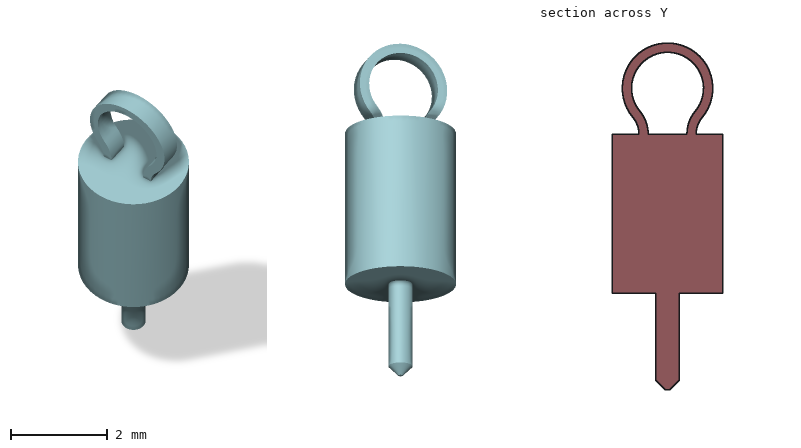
import cadquery as cq
import math

total_height = 7.19
body_diameter = 2.3
body_height = 3.3
pin_diameter = 0.5
pin_length = 2.0
tip_chamfer = 0.2
loop_outer_radius = 0.94
strip_thickness = 0.2
strip_width = 0.45
foot_offset = 0.495

body_top = pin_length + body_height
loop_radius = loop_outer_radius - strip_thickness / 2
loop_center_z = total_height - loop_outer_radius
center_rise = loop_center_z - body_top

foot_radius = (foot_offset**2 + center_rise**2 - loop_radius**2) / (2 * (loop_radius - foot_offset))
foot_center_x = foot_offset + foot_radius
foot_angle = math.atan2(center_rise, foot_center_x)


def loop_point(radius, angle):
    """Point on a circle about the loop center."""
    return radius * math.cos(angle), loop_center_z + radius * math.sin(angle)


def foot_point(radius, angle, side):
    """Point on a circle about a foot center, angle measured upward from the body top."""
    x = foot_center_x - radius * math.cos(angle)
    return side * x, body_top + radius * math.sin(angle)


def make_pin():
    pin = cq.Workplane("XY").circle(pin_diameter / 2).extrude(pin_length)
    return pin.faces("<Z").chamfer(tip_chamfer)


def make_body():
    return cq.Workplane("XY").workplane(offset=pin_length).circle(body_diameter / 2).extrude(body_height)


def make_loop():
    """Flat strip bent into an open loop with two flared feet."""
    half = strip_thickness / 2
    outer_radius = loop_radius + half
    inner_radius = loop_radius - half
    foot_outer = foot_radius - half
    foot_inner = foot_radius + half
    right_join = -foot_angle
    left_join = math.pi + foot_angle
    top = math.pi / 2
    return (
        cq.Workplane("XZ")
        .moveTo(*foot_point(foot_outer, 0, 1))
        .threePointArc(foot_point(foot_outer, foot_angle / 2, 1), loop_point(outer_radius, right_join))
        .threePointArc(loop_point(outer_radius, top), loop_point(outer_radius, left_join))
        .threePointArc(foot_point(foot_outer, foot_angle / 2, -1), foot_point(foot_outer, 0, -1))
        .lineTo(*foot_point(foot_inner, 0, -1))
        .threePointArc(foot_point(foot_inner, foot_angle / 2, -1), loop_point(inner_radius, left_join))
        .threePointArc(loop_point(inner_radius, top), loop_point(inner_radius, right_join))
        .threePointArc(foot_point(foot_inner, foot_angle / 2, 1), foot_point(foot_inner, 0, 1))
        .close()
        .extrude(strip_width / 2, both=True)
    )


result = make_body().union(make_pin()).union(make_loop())